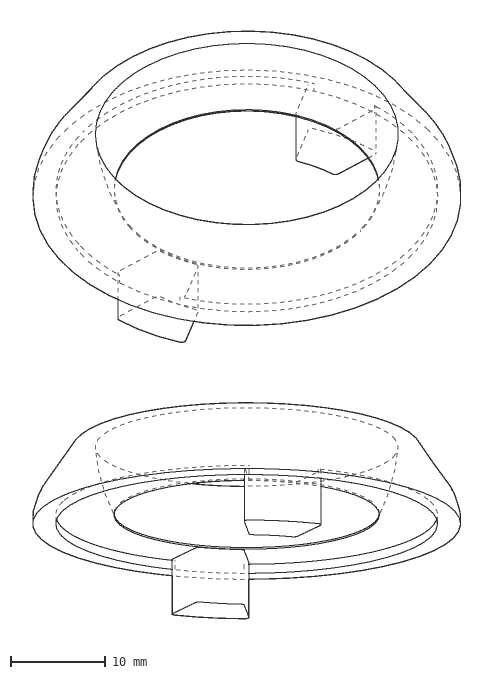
import cadquery as cq
import math

outer_radius = 22.65
ring_height = 8.43
rim_height = 1.0
shoulder_radius = 22.05
shoulder_height = 2.9
top_radius = 18.35
shoulder_fillet = 3.0
top_fillet = 0.5

recess_depth = 1.0
recess_radius = 20.2

lip_height = 0.2
bore_bottom_radius = 14.05
bore_top_radius = 16.05
bore_bulge = 0.35

lug_drop = 5.0
lug_outer_radius = recess_radius
lug_inner_radius = 14.2
lug_side_angle = 17.0
lug_apex_offset = 5.75
lug_fillet = 0.5
lug_directions = (0, 180)


def make_ring():
    """Revolve the ring section about Z and round its two outer corners."""
    lip_top = recess_depth + lip_height
    bore_middle = (
        (bore_bottom_radius + bore_top_radius) / 2 + bore_bulge,
        (lip_top + ring_height) / 2,
    )
    ring = (
        cq.Workplane("XZ")
        .moveTo(bore_bottom_radius, recess_depth)
        .lineTo(recess_radius, recess_depth)
        .lineTo(recess_radius, 0)
        .lineTo(outer_radius, 0)
        .lineTo(outer_radius, rim_height)
        .lineTo(shoulder_radius, shoulder_height)
        .lineTo(top_radius, ring_height)
        .lineTo(bore_top_radius, ring_height)
        .threePointArc(bore_middle, (bore_bottom_radius, lip_top))
        .close()
        .revolve(360, (0, 0), (0, 1))
    )
    ring = ring.edges(cq.selectors.RadiusNthSelector(-2)).fillet(shoulder_fillet)
    top_edge = ring.faces(">Z").edges(cq.selectors.RadiusNthSelector(-1))
    return top_edge.fillet(top_fillet)


def make_lug():
    """Lug on the +Y side, from the recess floor down, with rounded upright corners."""
    half_width = (outer_radius - lug_apex_offset) * math.tan(math.radians(lug_side_angle))
    lug_height = recess_depth + lug_drop
    wedge = (
        cq.Workplane("XY", origin=(0, 0, -lug_drop))
        .moveTo(0, lug_apex_offset)
        .lineTo(half_width, outer_radius)
        .lineTo(-half_width, outer_radius)
        .close()
        .extrude(lug_height)
    )
    annulus = (
        cq.Workplane("XY", origin=(0, 0, -lug_drop))
        .circle(lug_outer_radius)
        .circle(lug_inner_radius)
        .extrude(lug_height)
    )
    return wedge.intersect(annulus).edges("|Z").fillet(lug_fillet)


result = make_ring()
lug = make_lug()
for direction in lug_directions:
    result = result.union(lug.rotate((0, 0, 0), (0, 0, 1), direction))